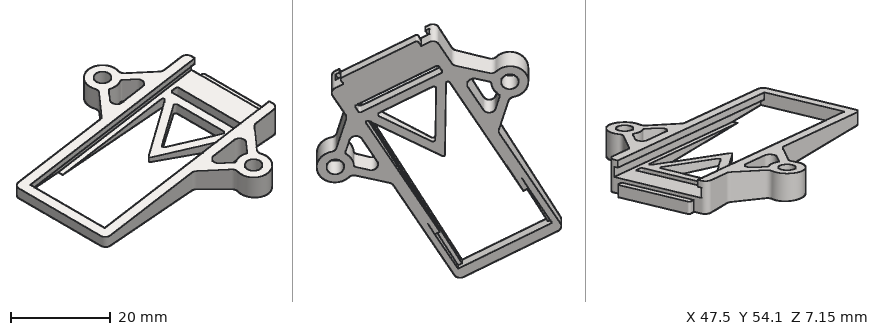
import cadquery as cq
import math

total_length = 54.1
total_height = 7.15
thin_end_height = 2.7
tongue_length = 1.5
frame_length = total_length - tongue_length
frame_half_width = 12.15
frame_wall = 2.3
bend_radius = 1.35

channel_depth = 3.7
channel_half_width = frame_half_width - frame_wall
lip_thickness = 1.5
groove_half_width = 10.75
window_half_width = 9.6
small_radius = 0.5

slot_front = 44.9
slot_back = 46.85
slot_radius = 0.4
rib_width = 2.0
brace_half_angle = math.radians(30)
brace_base_y = slot_front - rib_width
brace_inner_half_base = 6.9
brace_inner_tip_y = brace_base_y - brace_inner_half_base / math.tan(brace_half_angle)
brace_outer_tip_y = brace_inner_tip_y - rib_width / math.sin(brace_half_angle)

tongue_half_width = 8.9
tongue_top_depth = 4.5

ear_x = 20.0
ear_y = 36.1
boss_radius = 3.75
screw_hole_diameter = 3.5
arm_tip_x = 21.4
pocket_tip_x = arm_tip_x - rib_width * math.sqrt(2)


def prism(points):
    """Extrude an outline from the top face down through the full height."""
    return cq.Workplane("XY").polyline(points).close().extrude(-total_height)


def block(half_width, front, back, top_depth, bottom_depth):
    """Box centred on X between two Y positions and two depths."""
    return (
        cq.Workplane("XY", origin=(0, (front + back) / 2, -bottom_depth))
        .rect(2 * half_width, back - front)
        .extrude(bottom_depth - top_depth)
    )


def cylinder(radius):
    """Full-height cylinder on the axis of the right-hand ear."""
    return cq.Workplane("XY").center(ear_x, ear_y).circle(radius).extrude(-total_height)


def round_upright(solid, points, radius):
    """Fillet the vertical edge nearest to each XY point."""
    for x, y in points:
        edge = cq.NearestToPointSelector((x, y, -total_height / 2))
        solid = solid.edges("|Z").edges(edge).fillet(radius)
    return solid


def arm_triangle(tip_x):
    """Right-angled triangle reaching from the side of the frame to tip_x."""
    reach = tip_x - frame_half_width
    return prism([
        (frame_half_width, ear_y - reach),
        (tip_x, ear_y),
        (frame_half_width, ear_y + reach),
    ])


def arm_boss_corners(tip_x):
    """Points where the two 45 degree lines to tip_x enter the boss circle."""
    offset = ear_x - tip_x
    half_chord = math.sqrt(2 * boss_radius**2 - offset**2)
    dx = -(offset + half_chord) / 2
    dy = (half_chord - offset) / 2
    return [(ear_x + dx, ear_y + side * dy) for side in (-1, 1)]


def arm_root_corners(tip_x):
    """Points where the two 45 degree lines to tip_x leave the frame."""
    reach = tip_x - frame_half_width
    return [(frame_half_width, ear_y + side * reach) for side in (-1, 1)]


def mirrored(points):
    return [(-x, y) for x, y in points]


def make_pocket():
    pocket = arm_triangle(pocket_tip_x).cut(cylinder(boss_radius))
    pocket = round_upright(pocket, arm_boss_corners(pocket_tip_x), small_radius)
    return round_upright(pocket, arm_root_corners(pocket_tip_x), bend_radius)


def make_outline():
    """Frame and both ears, before the inner openings are cut."""
    frame = block(frame_half_width, 0, frame_length, 0, total_height)
    frame = frame.edges("|Z").fillet(bend_radius)
    ear = arm_triangle(arm_tip_x).union(cylinder(boss_radius))
    outline = frame.union(ear).union(ear.mirror("YZ"))
    bends = arm_root_corners(arm_tip_x) + arm_boss_corners(arm_tip_x)
    outline = round_upright(outline, bends + mirrored(bends), bend_radius)
    ear_cut = make_pocket().union(cylinder(screw_hole_diameter / 2))
    return outline.cut(ear_cut).cut(ear_cut.mirror("YZ"))


def make_brace_windows():
    """Triangle inside the brace and the large opening in front of it."""
    inner = prism([
        (-brace_inner_half_base, brace_base_y),
        (brace_inner_half_base, brace_base_y),
        (0, brace_inner_tip_y),
    ]).edges("|Z").fillet(small_radius)
    shoulder_y = brace_outer_tip_y + window_half_width / math.tan(brace_half_angle)
    brace_corners = [
        (-window_half_width, shoulder_y),
        (0, brace_outer_tip_y),
        (window_half_width, shoulder_y),
    ]
    front_corners = [(window_half_width, frame_wall), (-window_half_width, frame_wall)]
    outer = round_upright(prism(brace_corners + front_corners), brace_corners, slot_radius)
    return inner.union(outer)


def make_tongue():
    tongue = block(tongue_half_width, frame_length, total_length, tongue_top_depth, total_height)
    return tongue.edges("|Z and >Y").fillet(small_radius)


def make_underside_wedge():
    """Material below the sloping underside."""
    return (
        cq.Workplane("YZ")
        .polyline([(0, -thin_end_height), (total_length, -total_height), (0, -total_height)])
        .close()
        .extrude(arm_tip_x + boss_radius, both=True)
    )


channel = block(channel_half_width, frame_wall, frame_length, 0, channel_depth)
side_grooves = block(groove_half_width, frame_wall, frame_length, lip_thickness, channel_depth)
slot = block(window_half_width, slot_front, slot_back, 0, total_height)
slot = slot.edges("|Z").fillet(slot_radius)

result = (
    make_outline()
    .cut(channel)
    .cut(side_grooves)
    .cut(slot)
    .cut(make_brace_windows())
    .union(make_tongue())
    .cut(make_underside_wedge())
)